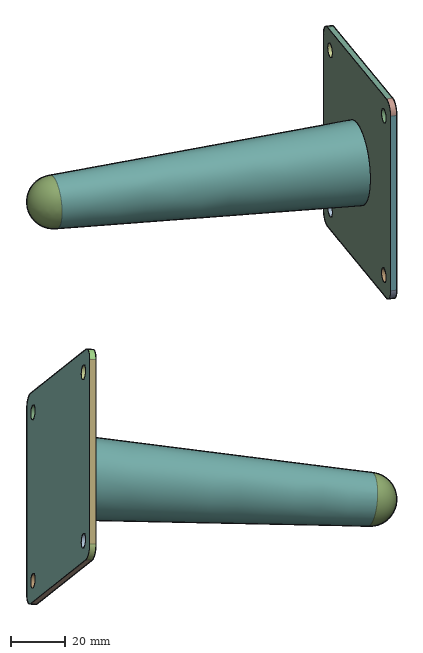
import cadquery as cq

total_length = 130.0
plate_side = 80.0
plate_thickness = 2.5
corner_radius = 5.0
hole_spacing = 64.0
hole_diameter = 5.5
peg_base_radius = 16.0
peg_tip_radius = 10.0

plate_front = -plate_thickness
peg_end = -total_length
dome_start = peg_end + peg_tip_radius
dome_mid_offset = peg_tip_radius * 0.5 ** 0.5


def make_plate():
    """Square mounting plate with rounded corners and four screw holes."""
    return (
        cq.Workplane("XZ")
        .rect(plate_side, plate_side)
        .extrude(plate_thickness)
        .edges("|Y")
        .fillet(corner_radius)
        .faces("<Y")
        .workplane(centerOption="CenterOfBoundBox")
        .rect(hole_spacing, hole_spacing, forConstruction=True)
        .vertices()
        .hole(hole_diameter)
    )


def make_peg():
    """Tapered round peg ending in a hemisphere, revolved about the Y axis."""
    return (
        cq.Workplane("XY")
        .moveTo(0, plate_front)
        .lineTo(peg_base_radius, plate_front)
        .lineTo(peg_tip_radius, dome_start)
        .threePointArc((dome_mid_offset, dome_start - dome_mid_offset), (0, peg_end))
        .close()
        .revolve(360, (0, 0), (0, 1))
    )


result = make_plate().union(make_peg())